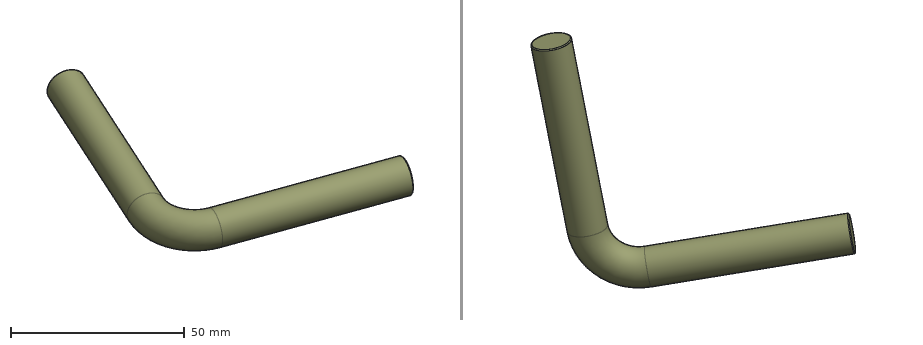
import cadquery as cq

overall_length = 81.0
bar_diameter = 12.0
bend_radius = 15.1
end_chamfer = 0.3

bar_radius = bar_diameter / 2
leg_length = overall_length - bend_radius - bar_radius


def bent_bar():
    """Sweep the round section along one leg, the bend and the other leg."""
    centreline = (
        cq.Workplane("XY")
        .moveTo(-leg_length, 0)
        .lineTo(0, 0)
        .radiusArc((bend_radius, bend_radius), -bend_radius)
        .lineTo(bend_radius, bend_radius + leg_length)
    )
    section = cq.Workplane("YZ", origin=(-leg_length, 0, 0)).circle(bar_radius)
    return section.sweep(centreline)


result = bent_bar().faces("<X or >Y").edges().chamfer(end_chamfer)